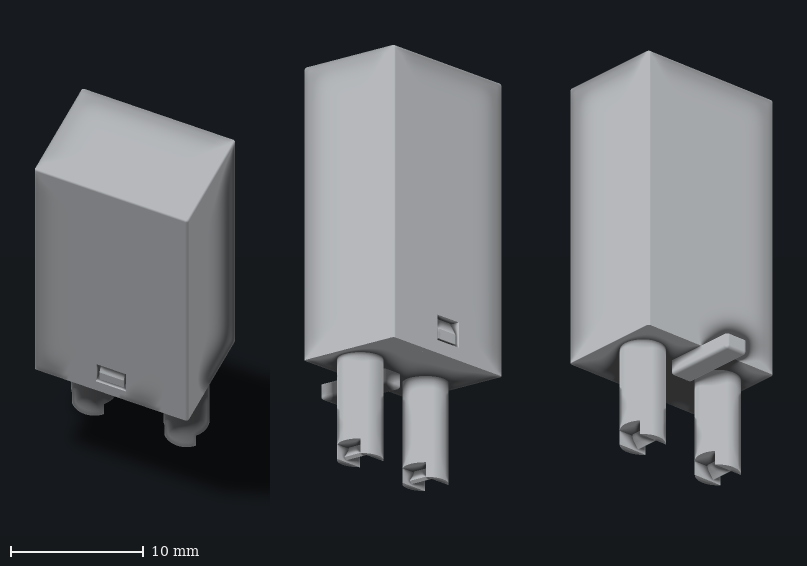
import cadquery as cq
import math


CAP_X = 12.7
CAP_Y = 8.9
TOTAL_Z = 31.2
LEG_LENGTH = 8.0
CAP_Z = TOTAL_Z - LEG_LENGTH
EDGE_RADIUS = 0.22

WINDOW_X = 2.5
WINDOW_BOTTOM = 1.03
WINDOW_TOP = 3.03
TOOTH_X = 2.0
TOOTH_BOTTOM = 1.25
TOOTH_RIDGE = 2.03
TOOTH_INSET = 0.12
TOOTH_SLOPE = 30.0
TOOTH_REACH = (WINDOW_TOP - TOOTH_RIDGE) * math.tan(math.radians(TOOTH_SLOPE))
WALL = TOOTH_INSET + TOOTH_REACH

PLATE_X = CAP_X - 2 * WALL
PLATE_Y = CAP_Y - 2 * WALL
PLATE_Z = 4.0

LEG_DIAMETER = 3.5
LEG_SPACING = 7.6
LEG_Y = 1.0
LEG_XS = (-LEG_SPACING / 2, LEG_SPACING / 2)
NOTCH_Y = 2.3
NOTCH_Z = 1.15

KEY_X = 2.0
KEY_Z = 1.2
KEY_RADIUS = 0.25
KEY_OVERHANG = 2.9
KEY_FRONT = LEG_Y
KEY_BACK = CAP_Y / 2 + KEY_OVERHANG

STRIP_Y = 2.0
STRIP_THICKNESS = 0.3
BEND_RADIUS = 0.62
FLARE_ANGLE = 38.0
TIP_CLEARANCE = 0.1


def box(x_size, y_size, z_bottom, z_top):
    """Box centred on the Z axis between two heights."""
    height = z_top - z_bottom
    return cq.Workplane("XY").box(x_size, y_size, height, (True, True, False)).translate((0, 0, z_bottom))


def make_cap():
    """Rounded cover with a recess for the base plate and a latch window."""
    cap = box(CAP_X, CAP_Y, 0, CAP_Z).edges("|Z or >Z").fillet(EDGE_RADIUS)
    recess = box(PLATE_X, PLATE_Y, 0, PLATE_Z)
    window = box(WINDOW_X, WALL, WINDOW_BOTTOM, WINDOW_TOP).translate((0, (WALL - CAP_Y) / 2, 0))
    return cap.cut(recess).cut(window)


def make_tooth():
    """Latch tooth with a sloped top, on the front of the base plate."""
    root = -PLATE_Y / 2
    face = root - TOOTH_REACH
    profile = [(root, TOOTH_BOTTOM), (face, TOOTH_BOTTOM), (face, TOOTH_RIDGE), (root, WINDOW_TOP)]
    return cq.Workplane("YZ").polyline(profile).close().extrude(TOOTH_X / 2, both=True)


def make_key():
    """Bar that reaches out behind the cap, with rounded ends and lower edges."""
    key = box(KEY_X, KEY_BACK - KEY_FRONT, -KEY_Z, 0).edges("|Z or <Z").fillet(KEY_RADIUS)
    return key.translate((0, (KEY_FRONT + KEY_BACK) / 2, 0))


def make_leg(x):
    """Round leg with a notch right across its lower end."""
    leg = cq.Workplane("XY").circle(LEG_DIAMETER / 2).extrude(-LEG_LENGTH)
    notch = box(LEG_DIAMETER, NOTCH_Y, -LEG_LENGTH, NOTCH_Z - LEG_LENGTH)
    return leg.cut(notch).translate((x, LEG_Y, 0))


def make_strip_slot(x):
    """Slot for a contact strip, from the top of the plate down to the leg's notch."""
    return box(STRIP_THICKNESS, STRIP_Y, NOTCH_Z - LEG_LENGTH, PLATE_Z).translate((x, LEG_Y, 0))


def make_base():
    """Plate with its latch tooth, key and two slotted legs."""
    base = box(PLATE_X, PLATE_Y, 0, PLATE_Z).union(make_tooth()).union(make_key())
    for x in LEG_XS:
        base = base.union(make_leg(x)).cut(make_strip_slot(x))
    return base


def make_contact(x):
    """Straight strip whose lower end bends out toward -X inside the notch."""
    angle = math.radians(FLARE_ANGLE)
    sin_flare = math.sin(angle)
    cos_flare = math.cos(angle)
    inner_x = -STRIP_THICKNESS / 2
    outer_x = STRIP_THICKNESS / 2
    bend_x = inner_x - BEND_RADIUS
    bend_z = NOTCH_Z - LEG_LENGTH
    outer_radius = BEND_RADIUS + STRIP_THICKNESS

    def on_bend(radius, turn):
        """Point of the bend after the strip has turned by an angle."""
        return (bend_x + radius * math.cos(turn), bend_z - radius * math.sin(turn))

    inner_end = on_bend(BEND_RADIUS, angle)
    outer_end = on_bend(outer_radius, angle)
    tip_z = TIP_CLEARANCE - LEG_LENGTH
    flare = (outer_end[1] - tip_z) / cos_flare
    inner_tip = (inner_end[0] - flare * sin_flare, inner_end[1] - flare * cos_flare)
    outer_tip = (outer_end[0] - flare * sin_flare, tip_z)

    strip = (
        cq.Workplane("XZ")
        .moveTo(inner_x, PLATE_Z)
        .lineTo(inner_x, bend_z)
        .threePointArc(on_bend(BEND_RADIUS, angle / 2), inner_end)
        .lineTo(*inner_tip)
        .lineTo(*outer_tip)
        .lineTo(*outer_end)
        .threePointArc(on_bend(outer_radius, angle / 2), (outer_x, bend_z))
        .lineTo(outer_x, PLATE_Z)
        .close()
        .extrude(STRIP_Y / 2, both=True)
    )
    return strip.translate((x, LEG_Y, 0))


cap = make_cap()
base = make_base()
contacts = [make_contact(x) for x in LEG_XS]

result = cq.Compound.makeCompound([cap.val(), base.val(), *[contact.val() for contact in contacts]])